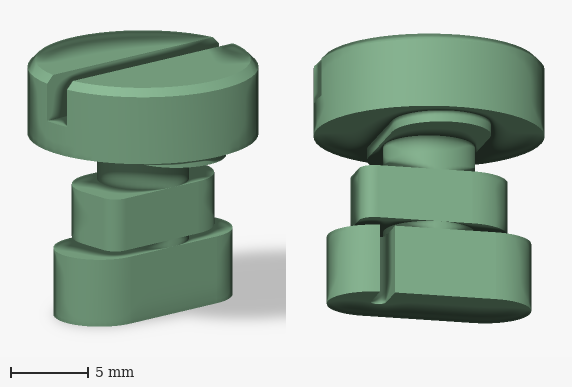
import cadquery as cq

HEAD_DIAMETER = 15.0
HEAD_HEIGHT = 5.0
HEAD_CHAMFER = 0.5
SLOT_WIDTH = 1.95
SLOT_DEPTH = 3.0

COLLAR_LENGTH = 13.0
COLLAR_WIDTH = 6.5
COLLAR_HEIGHT = 0.75

SHANK_DIAMETER = 6.0

CAM_LENGTH = 10.33
CAM_HEIGHT = 3.5
CAM_LARGE_RADIUS = SHANK_DIAMETER / 2
CAM_SMALL_RADIUS = 1.0

FOOT_LENGTH = 13.5
FOOT_HEIGHT = 4.5
GROOVE_WIDTH = 1.0
GROOVE_DEPTH = SHANK_DIAMETER / 2
GROOVE_Y = 3.5

TOTAL_HEIGHT = 16.5
HEAD_BOTTOM = TOTAL_HEIGHT - HEAD_HEIGHT
COLLAR_BOTTOM = HEAD_BOTTOM - COLLAR_HEIGHT
CAM_BOTTOM = 5.0


def level(z):
    """Horizontal workplane at height z."""
    return cq.Workplane("XY").workplane(offset=z)


def make_head():
    head = level(HEAD_BOTTOM).circle(HEAD_DIAMETER / 2).extrude(HEAD_HEIGHT)
    head = head.faces(">Z").chamfer(HEAD_CHAMFER)
    slot = level(TOTAL_HEIGHT).rect(SLOT_WIDTH, HEAD_DIAMETER).extrude(-SLOT_DEPTH)
    return head.cut(slot)


def make_collar():
    return level(COLLAR_BOTTOM).slot2D(COLLAR_LENGTH, COLLAR_WIDTH).extrude(COLLAR_HEIGHT)


def make_shank():
    return level(0).circle(SHANK_DIAMETER / 2).extrude(HEAD_BOTTOM)


def rounded_corner(x_side, y_side, radius):
    """Material removed by rounding one cam corner: the corner square minus its disc."""
    center_x = x_side * (SHANK_DIAMETER / 2 - radius)
    center_y = y_side * (CAM_LENGTH / 2 - radius)
    square = (
        level(CAM_BOTTOM)
        .center(center_x + x_side * radius / 2, center_y + y_side * radius / 2)
        .rect(radius, radius)
        .extrude(CAM_HEIGHT)
    )
    disc = level(CAM_BOTTOM).center(center_x, center_y).circle(radius).extrude(CAM_HEIGHT)
    return square.cut(disc)


def make_cam():
    cam = level(CAM_BOTTOM).rect(SHANK_DIAMETER, CAM_LENGTH).extrude(CAM_HEIGHT)
    for side in (-1, 1):
        cam = cam.cut(rounded_corner(side, side, CAM_LARGE_RADIUS))
        cam = cam.cut(rounded_corner(side, -side, CAM_SMALL_RADIUS))
    return cam


def make_foot():
    return level(0).slot2D(FOOT_LENGTH, SHANK_DIAMETER, 90).extrude(FOOT_HEIGHT)


def make_groove():
    return (
        level(0)
        .center(-SHANK_DIAMETER / 2, GROOVE_Y)
        .slot2D(2 * GROOVE_DEPTH, GROOVE_WIDTH)
        .extrude(FOOT_HEIGHT)
    )


core = make_foot().union(make_shank()).cut(make_groove())
result = core.union(make_cam()).union(make_collar()).union(make_head())